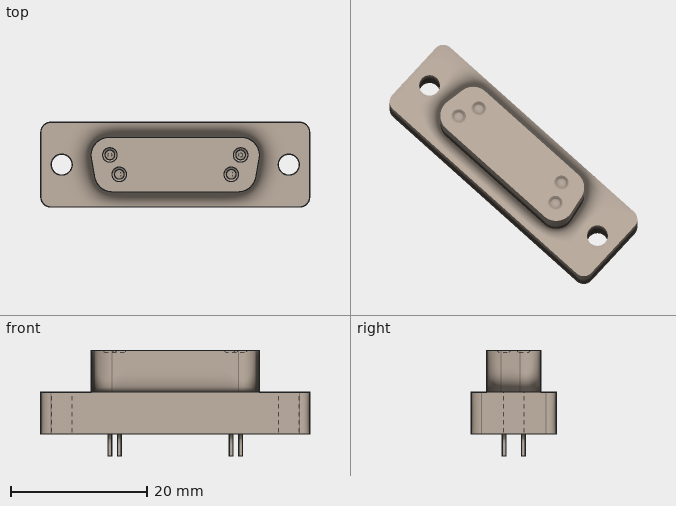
import cadquery as cq
import math

flange_length = 39.5
flange_width = 12.5
flange_height = 6.15
flange_corner_radius = 1.5
mounting_hole_spacing = 33.35
mounting_hole_diameter = 3.05

plug_mid_length = 24.3
plug_width = 7.98
plug_height = 6.15
plug_corner_radius = 2.6
plug_side_angle = 10.0

back_row_spacing = 19.2
front_row_spacing = 16.45
row_spacing = 2.85
pin_diameter = 0.6
pin_length = 3.2
socket_mouth_diameter = 2.15
socket_floor_diameter = 1.42
socket_depth = 0.35

plug_top = flange_height + plug_height
contact_positions = [
    (side * spacing / 2, y)
    for spacing, y in ((back_row_spacing, row_spacing / 2), (front_row_spacing, -row_spacing / 2))
    for side in (-1, 1)
]


def make_flange():
    return (
        cq.Workplane("XY")
        .box(flange_length, flange_width, flange_height, centered=(True, True, False))
        .edges("|Z")
        .fillet(flange_corner_radius)
        .faces(">Z")
        .workplane()
        .rarray(mounting_hole_spacing, 0.4, 2, 1)
        .hole(mounting_hole_diameter)
    )


def make_plug():
    half_width = plug_width / 2
    side_offset = half_width * math.tan(math.radians(plug_side_angle))
    back_x = plug_mid_length / 2 + side_offset
    front_x = plug_mid_length / 2 - side_offset
    outline = [
        (-back_x, half_width),
        (back_x, half_width),
        (front_x, -half_width),
        (-front_x, -half_width),
    ]
    return (
        cq.Workplane("XY", origin=(0, 0, flange_height))
        .polyline(outline)
        .close()
        .extrude(plug_height)
        .edges("|Z")
        .fillet(plug_corner_radius)
    )


def make_pins():
    return cq.Workplane("XY").pushPoints(contact_positions).circle(pin_diameter / 2).extrude(-pin_length)


def make_socket(x, y):
    """Conical recess in the top face of the plug, with a flat floor."""
    return cq.Workplane(
        cq.Solid.makeCone(
            socket_mouth_diameter / 2,
            socket_floor_diameter / 2,
            socket_depth,
            pnt=cq.Vector(x, y, plug_top),
            dir=cq.Vector(0, 0, -1),
        )
    )


result = make_flange().union(make_plug()).union(make_pins())
for contact_x, contact_y in contact_positions:
    result = result.cut(make_socket(contact_x, contact_y))